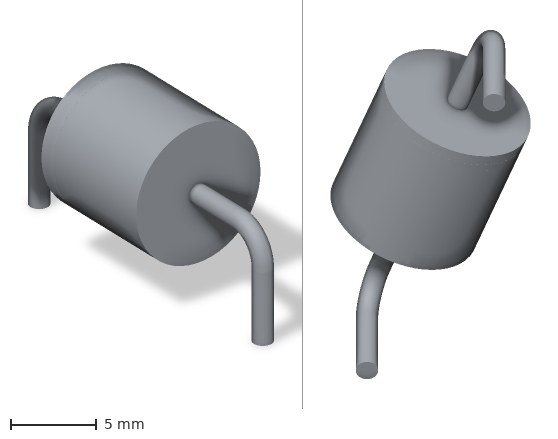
import cadquery as cq


body_diameter = 9.09
body_length = 9.1
body_start = -body_length / 2

band_diameter = 9.1
band_width = 0.05 * body_length
band_offset = 0.075 * body_length
band_depth = 0.2
band_start = body_start + band_offset
band_inner_diameter = body_diameter - 2 * band_depth

lead_span = 22.78
lead_diameter = 1.3
bend_radius = 1.75 * lead_diameter
lead_drop = 7.08
lead_x = (lead_span - lead_diameter) / 2


def make_ring(outer_diameter):
    """Ring around the X axis, at the band's place and down to the groove floor."""
    return (
        cq.Workplane("YZ", origin=(band_start, 0, 0))
        .circle(outer_diameter / 2)
        .circle(band_inner_diameter / 2)
        .extrude(band_width)
    )


def make_body():
    """Cylinder with the groove that holds the polarity band."""
    cylinder = (
        cq.Workplane("YZ", origin=(body_start, 0, 0))
        .circle(body_diameter / 2)
        .extrude(body_length)
    )
    return cylinder.cut(make_ring(band_diameter))


def make_lead(side):
    """Round lead from one end face (side -1 or +1 along X), bent down to its tip."""
    face_x = side * body_length / 2
    path = (
        cq.Workplane("XZ")
        .moveTo(face_x, 0)
        .lineTo(side * (lead_x - bend_radius), 0)
        .tangentArcPoint((side * lead_x, -bend_radius), relative=False)
        .lineTo(side * lead_x, -lead_drop)
    )
    return cq.Workplane("YZ", origin=(face_x, 0, 0)).circle(lead_diameter / 2).sweep(path)


body = make_body()
band = make_ring(band_diameter)
leads = [make_lead(side) for side in (-1, 1)]

result = cq.Compound.makeCompound([body.val(), band.val(), *[lead.val() for lead in leads]])